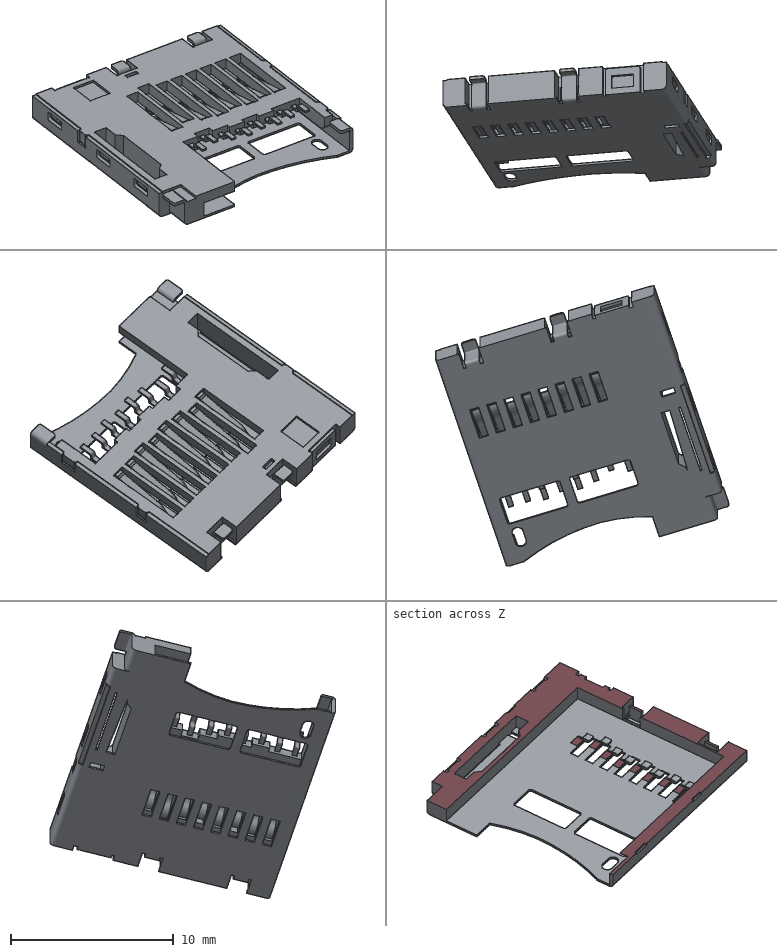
import cadquery as cq
import math

LENGTH = 15.2
WIDTH = 14.1
HEIGHT = 1.88
COVER_TOP = 1.82
SHEET = 0.15
TAB_SHEET = 0.20

BACK = -LENGTH / 2
FRONT = LENGTH / 2
SIDE = WIDTH / 2
BOTTOM_RADIUS = 0.28

MOUTH_BACK = 2.07
MOUTH_LOW_Y = -2.51
MOUTH_HIGH_Y = 6.20
LIP_END = 6.61
SIDE_WALL = 0.26
REBATE_DEPTH = 0.06
SIDE_NOTCHES = ((-1, -2.75, -1.91), (1, -2.75, -1.93), (1, 3.02, 4.10))
RAIL_END = 4.79
RAIL_RADIUS = 0.50
RAIL_BOTTOM = 0.85

CARD_BACK = -6.30
CARD_LOW_Y = -4.80
CARD_TOP = 1.12

CONTACT_COUNT = 8
CONTACT_PITCH = 1.10
FIRST_CONTACT_Y = 5.75
CONTACT_SHIFT = {2: 0.19, 4: 0.19, 6: -0.38}
CONTACT_SHEET = 0.12
CONTACT_EMBED = 0.30
ARM_WIDTH = 0.50
TAIL_WIDTH = 0.32
SLOT_BACK = -4.19
SLOT_FRONT = 0.65
SLOT_WIDTH = 0.82

TAB_BEND = 0.28
BACK_TAB_ROOT = -6.71
BACK_TAB_WIDTH = 0.92
SIDE_TAB_WIDTH = 1.31
BACK_TAB_YS = (4.94, -0.75)
TAB_CORNER = 0.15
WALL_TAB_TOP = 1.80

CORNER_BACK = 5.98
CORNER_STEP_Y = -5.42
CORNER_SIDE_Y = -6.28
CORNER_TOP = 1.66

LATCH_XS = (-5.22, 0.0, 4.02)
BACK_NOTCH_YS = ((4.18, 5.65), (-1.52, 0.01))
OPENING_YS = (-1.40, -0.08)
OPENING_LOW = 0.19


def block(x0, x1, y0, y1, z0, z1):
    """Box between two opposite corners."""
    return cq.Workplane("XY").box(x1 - x0, y1 - y0, z1 - z0, centered=False).translate((x0, y0, z0))


def contact_y(index):
    return FIRST_CONTACT_Y - index * CONTACT_PITCH


def contact_shift(index):
    return CONTACT_SHIFT.get(index, 0)


def make_body():
    """Solid envelope with the bent lower edges and the stepped upper edges."""
    body = block(BACK, FRONT, -SIDE, SIDE, 0, COVER_TOP)
    body = body.edges("|X and <Z").fillet(BOTTOM_RADIUS)
    rebate_low = COVER_TOP - REBATE_DEPTH
    rebates = cq.Workplane("XY")
    for y in (-SIDE, SIDE - SIDE_WALL):
        rebates = rebates.union(block(BACK, FRONT, y, y + SIDE_WALL, rebate_low, COVER_TOP))
    for side, back, front in SIDE_NOTCHES:
        wall_y = side * SIDE
        rebates = rebates.cut(block(back, front, wall_y - SIDE_WALL, wall_y + SIDE_WALL, 0, HEIGHT))
    return body.cut(rebates)


def make_card_space():
    """Space for the card between floor and cover, open at the front."""
    return block(CARD_BACK, FRONT, CARD_LOW_Y, MOUTH_HIGH_Y, SHEET, CARD_TOP)


def make_mouth():
    """Open area in front of the cover, with its stepped back edge."""
    mouth = block(MOUTH_BACK, FRONT, MOUTH_LOW_Y, MOUTH_HIGH_Y, SHEET, HEIGHT)
    step_half = CONTACT_PITCH / 2
    tongue_reach = 0.26
    for index, shift in CONTACT_SHIFT.items():
        y = contact_y(index)
        if shift > 0:
            step_front = MOUTH_BACK + tongue_reach
            tongue = block(MOUTH_BACK, step_front, y - step_half, y + step_half, CARD_TOP, HEIGHT)
            mouth = mouth.cut(tongue)
        else:
            step_back = MOUTH_BACK + shift
            notch = block(step_back, MOUTH_BACK, y - step_half, y + step_half, SHEET, HEIGHT)
            mouth = mouth.union(notch)
    wall_inner = SIDE - SIDE_WALL
    beside_rail = block(RAIL_END, FRONT, MOUTH_HIGH_Y, wall_inner, SHEET, HEIGHT)
    return mouth.union(beside_rail)


def make_rail_undercut():
    """Groove for the card edge below the guide rail, and the rounding of the rail's front end."""
    low, high = MOUTH_HIGH_Y, SIDE - SIDE_WALL
    groove = block(CARD_BACK, RAIL_END, low, high, SHEET, RAIL_BOTTOM)
    round_x = RAIL_END - RAIL_RADIUS
    round_z = RAIL_BOTTOM + RAIL_RADIUS
    corner = block(round_x, RAIL_END, low, high, RAIL_BOTTOM, round_z)
    round_end = cq.Workplane("XZ", origin=(round_x, high, round_z)).circle(RAIL_RADIUS).extrude(high - low)
    return groove.union(corner.cut(round_end))


def make_front_cut():
    """Everything in front of the curved floor edge and the +Y wall."""
    crest = (5.60, 0.65)
    curve_high_y = 5.89
    curve_low_x = 6.22
    high_arc_middle = (5.87, 3.45)
    low_arc_middle = (5.79, -0.95)
    outer = FRONT + 1
    return (
        cq.Workplane("XY")
        .moveTo(outer, SIDE)
        .lineTo(LIP_END, SIDE)
        .lineTo(LIP_END, curve_high_y)
        .threePointArc(high_arc_middle, crest)
        .threePointArc(low_arc_middle, (curve_low_x, MOUTH_LOW_Y))
        .lineTo(outer, MOUTH_LOW_Y)
        .close()
        .extrude(HEIGHT)
    )


def make_floor_windows():
    """Two windows below the contact tails and an oval hole."""
    back, front = 2.20, 3.99
    spans = ((2.20, 6.09), (-2.34, 1.58))
    corner = 0.15
    windows = cq.Workplane("XY")
    for low, high in spans:
        windows = windows.union(block(back, front, low, high, 0, SHEET).edges("|Z").fillet(corner))
    oval_x, oval_y = 4.98, 5.69
    oval_length, oval_width = 1.28, 0.69
    oval = cq.Workplane("XY").center(oval_x, oval_y).slot2D(oval_length, oval_width).extrude(SHEET)
    return windows.union(oval)


def make_contact_slot(index):
    """Slot through the cover plus the smaller floor window under the contact tip."""
    y = contact_y(index)
    shift = contact_shift(index)
    half = SLOT_WIDTH / 2
    slot = block(SLOT_BACK + min(shift, 0), SLOT_FRONT + shift, y - half, y + half, SHEET, HEIGHT)
    window_back, window_front, window_half = -3.89, -1.95, 0.29
    window = block(window_back, window_front, y - window_half, y + window_half, 0, SHEET)
    return slot.union(window)


def make_arm(index):
    """Spring arm: a dipped tip, an S-shaped rise and a straight run into the cover."""
    t = CONTACT_SHEET
    lean = t / 2
    tip_x, dip_x, turn_x, crest_x = -3.63, -3.37, -2.85, -2.39
    tip_z, dip_z, turn_z, crest_z = 0.46, 0.40, 0.68, 0.95
    bow_x, bow_z = -2.66, 0.87
    knee_x, knee_z = 0.37, 1.48
    root_x, root_z = 0.50, 1.56
    end_x = SLOT_FRONT + CONTACT_EMBED
    return (
        cq.Workplane("XZ", origin=(contact_shift(index), contact_y(index) + ARM_WIDTH / 2, 0))
        .moveTo(tip_x, tip_z)
        .threePointArc((dip_x, dip_z), (turn_x, turn_z))
        .threePointArc((bow_x, bow_z), (crest_x, crest_z))
        .lineTo(knee_x, knee_z)
        .lineTo(root_x, root_z)
        .lineTo(end_x, root_z)
        .lineTo(end_x, root_z + t)
        .lineTo(root_x - lean, root_z + t)
        .lineTo(knee_x - lean, knee_z + t)
        .lineTo(crest_x - lean, crest_z + t)
        .threePointArc((bow_x - lean, bow_z + t), (turn_x - lean, turn_z + t))
        .threePointArc((dip_x - lean, dip_z + t), (tip_x, tip_z + t))
        .close()
        .extrude(ARM_WIDTH)
    )


def make_tail(index):
    """Solder tail that leaves the cover, rises in an S and ends flat at the solder level."""
    t = CONTACT_SHEET
    rise_x, flat_x, tail_x = 2.52, 2.82, 3.56
    start_x = MOUTH_BACK - CONTACT_EMBED
    low_z = 1.36
    top_z = HEIGHT - t
    turn_x, turn_z = (rise_x + flat_x) / 2, (low_z + top_z) / 2
    return (
        cq.Workplane("XZ", origin=(contact_shift(index), contact_y(index) + TAIL_WIDTH / 2, 0))
        .moveTo(start_x, low_z)
        .lineTo(rise_x + t, low_z)
        .spline([(turn_x + t / 2, turn_z), (flat_x + t / 2, top_z)],
                tangents=[(1, 0), (1, 0)], includeCurrent=True)
        .lineTo(tail_x, top_z)
        .lineTo(tail_x, HEIGHT)
        .lineTo(flat_x, HEIGHT)
        .spline([(turn_x - t / 2, turn_z + t), (rise_x - t / 2, low_z + t)],
                tangents=[(-1, 0), (-1, 0)], includeCurrent=True)
        .lineTo(start_x, low_z + t)
        .close()
        .extrude(TAIL_WIDTH)
    )


def make_tab(reach, width, top=HEIGHT):
    """Upright leg on the floor whose top bends over to a flat solder tab.

    The inner face of the leg is at x = 0, the tab points to -X, y is centred.
    """
    inner = TAB_BEND - TAB_SHEET
    bend_z = top - TAB_BEND
    diagonal = math.sqrt(0.5)
    profile = (
        cq.Workplane("XZ", origin=(0, width / 2, 0))
        .lineTo(0, bend_z)
        .threePointArc((-TAB_BEND * (1 - diagonal), bend_z + TAB_BEND * diagonal), (-TAB_BEND, top))
        .lineTo(-reach, top)
        .lineTo(-reach, top - TAB_SHEET)
        .lineTo(-TAB_BEND, top - TAB_SHEET)
        .threePointArc((-TAB_BEND + inner * diagonal, bend_z + inner * diagonal), (-TAB_SHEET, bend_z))
        .lineTo(-TAB_SHEET, 0)
        .close()
        .extrude(width)
    )
    return profile.edges("|Z and <X").fillet(TAB_CORNER)


def make_back_notch(low, high):
    """Notch in the back edge around an upright leg; the floor keeps a small lip."""
    upper_front, floor_front = -6.46, -6.59
    lip = 0.10
    lip_top = 0.13
    upper = block(BACK, upper_front, low, high, lip_top, HEIGHT)
    lower = block(BACK, floor_front, low + lip, high - lip, 0, lip_top)
    return upper.union(lower)


def make_back_leg(y):
    """Back solder tab with the bend that joins its leg to the floor."""
    leg = make_tab(BACK_TAB_ROOT - BACK, BACK_TAB_WIDTH)
    bend_radius = 0.18
    foot_length = 0.30
    foot = block(-TAB_SHEET, foot_length, -BACK_TAB_WIDTH / 2, BACK_TAB_WIDTH / 2, 0, SHEET)
    leg = leg.union(foot).faces("<Z").edges("<X").fillet(bend_radius)
    return leg.translate((BACK_TAB_ROOT, y, 0))


def make_side_tabs():
    """Tab pointing out at the -Y front corner and tab pointing in at the +Y wall."""
    outward_root = CORNER_SIDE_Y + TAB_SHEET
    outward = make_tab(SIDE + outward_root, SIDE_TAB_WIDTH).rotate((0, 0, 0), (0, 0, 1), 90)
    outward = outward.translate((FRONT - SIDE_TAB_WIDTH / 2, outward_root, 0))
    outward = outward.cut(block(CORNER_BACK, FRONT, -SIDE, 0, 0, BOTTOM_RADIUS))
    inward_tip = 6.15
    inward = make_tab(SIDE - inward_tip, SIDE_TAB_WIDTH, WALL_TAB_TOP).rotate((0, 0, 0), (0, 0, 1), 90)
    inward = inward.translate((LIP_END - SIDE_TAB_WIDTH / 2, SIDE, 0))
    inward = inward.cut(block(0, FRONT, 0, SIDE, 0, BOTTOM_RADIUS))
    return outward.union(inward)


def make_wall_tab_clearance():
    """Top of the +Y wall that gives way to the bend of the inward tab."""
    back = LIP_END - SIDE_TAB_WIDTH
    return block(back, LIP_END, SIDE - SIDE_WALL, SIDE, WALL_TAB_TOP - TAB_BEND, HEIGHT)


def make_front_corner_cut():
    """Lowered and narrowed front corner that carries the outward tab."""
    lowered = block(CORNER_BACK, FRONT, -SIDE, CORNER_STEP_Y, CORNER_TOP, HEIGHT)
    narrowed = block(CORNER_BACK, FRONT, -SIDE, CORNER_SIDE_Y, 0, HEIGHT)
    floor_strip = block(CORNER_BACK, FRONT, CORNER_SIDE_Y, CORNER_SIDE_Y + BOTTOM_RADIUS, 0, BOTTOM_RADIUS)
    bend = (
        cq.Workplane("YZ", origin=(CORNER_BACK, CORNER_SIDE_Y + BOTTOM_RADIUS, BOTTOM_RADIUS))
        .circle(BOTTOM_RADIUS)
        .extrude(FRONT - CORNER_BACK)
    )
    return lowered.union(narrowed).union(floor_strip.cut(bend))


def make_back_plate_cut():
    """Recess in the back edge that leaves a windowed shell plate standing."""
    recess_front, plate_back = -7.26, -7.46
    recess_low_y, recess_high_y = -5.61, -3.01
    plate_low_y, plate_high_y = -5.36, -3.18
    plate_top, plate_corner = 1.70, 0.10
    window_low_y, window_high_y = -4.94, -3.55
    window_bottom, window_top, window_corner = 0.40, 1.22, 0.06
    recess = block(BACK, recess_front, recess_low_y, recess_high_y, 0, HEIGHT)
    plate = block(plate_back, recess_front, plate_low_y, plate_high_y, 0, plate_top)
    plate = plate.edges("|X and >Z").fillet(plate_corner)
    window = block(plate_back, recess_front, window_low_y, window_high_y, window_bottom, window_top)
    window = window.edges("|X").fillet(window_corner)
    return recess.cut(plate.cut(window))


def make_latch_window(x):
    """Window in the -Y wall with a wedge-shaped catch inside it."""
    length, low, high = 1.44, 0.90, 1.46
    depth = 0.25
    corner = 0.10
    catch_length = 1.03
    ridge_z = 1.27
    ridge_setback = 0.03
    window = block(x - length / 2, x + length / 2, -SIDE, -SIDE + depth, low, high)
    window = window.edges("|Y").fillet(corner)
    catch = (
        cq.Workplane("YZ", origin=(x - catch_length / 2, 0, 0))
        .moveTo(-SIDE + depth, low)
        .lineTo(-SIDE + ridge_setback, ridge_z)
        .lineTo(-SIDE + depth, high)
        .close()
        .extrude(catch_length)
    )
    return window.cut(catch)


def make_side_notch(side, back, front):
    """Notch high in a side wall, partly filled by a tongue of the cover; side is -1 or +1."""
    low = 0.95
    gap = 0.10
    notch_depth = 0.12
    tongue_depth = 0.05
    middle = (back + front) / 2
    length = front - back
    height = HEIGHT - low
    notch = cq.Workplane("XY").box(length, 2 * notch_depth, height)
    tongue = cq.Workplane("XY").box(length - 2 * gap, notch_depth, height - gap)
    tongue = tongue.translate((0, -side * (tongue_depth + notch_depth / 2), gap / 2))
    return notch.cut(tongue).translate((middle, side * SIDE, low + height / 2))


def straighten_open_bend(body):
    """Stretch of the -Y wall that ends straight above the floor instead of bending into it."""
    back, front = -1.44, 4.60
    wall_low = 0.19
    inner = -SIDE + BOTTOM_RADIUS
    body = body.union(block(back, front, -SIDE, inner, wall_low, BOTTOM_RADIUS))
    return body.cut(block(back, front, -SIDE, inner, 0, wall_low))


def make_spring_pocket():
    """Pocket with angled ends over a spring tongue cut from the floor."""
    back, front = -1.97, 4.55
    low, shoulder, high = -6.35, -5.47, -5.10
    slope_back, slope_front, slope_run = -0.99, 3.76, 0.37
    pocket = (
        cq.Workplane("XY", origin=(0, 0, SHEET))
        .moveTo(back, low)
        .lineTo(front, low)
        .lineTo(front, shoulder)
        .lineTo(slope_front, shoulder)
        .lineTo(slope_front - slope_run, high)
        .lineTo(slope_back + slope_run, high)
        .lineTo(slope_back, shoulder)
        .lineTo(back, shoulder)
        .close()
        .extrude(HEIGHT)
    )
    gap_back = -1.46
    gap_below_tongue = 0.12
    hook_back, hook_front, tongue_root = -1.09, -0.11, 4.24
    edge_at_hook, edge_at_root, edge_end = -5.66, -5.50, 3.95
    behind_hook = block(gap_back, hook_back, low, shoulder, 0, SHEET)
    below_tongue = block(hook_front, tongue_root, low, low + gap_below_tongue, 0, SHEET)
    above_tongue = (
        cq.Workplane("XY")
        .moveTo(hook_front, edge_at_hook)
        .lineTo(edge_end, edge_at_root)
        .lineTo(slope_front, shoulder)
        .lineTo(slope_front - slope_run, high)
        .lineTo(hook_front, high)
        .close()
        .extrude(SHEET)
    )
    return pocket.union(behind_hook).union(below_tongue).union(above_tongue)


def make_cover_recesses():
    """Square recess and a small slit in the cover."""
    square_back, square_front = -6.86, -5.04
    square_low, square_high, square_depth = -4.50, -3.01, 0.15
    slit_back, slit_front = -6.18, -5.91
    slit_low, slit_high, slit_depth = -1.10, -0.28, 0.30
    square = block(square_back, square_front, square_low, square_high, COVER_TOP - square_depth, COVER_TOP)
    slit = block(slit_back, slit_front, slit_low, slit_high, COVER_TOP - slit_depth, COVER_TOP)
    return square.union(slit)


result = make_body().cut(make_card_space()).cut(make_mouth()).cut(make_rail_undercut())
result = result.cut(make_front_cut()).cut(make_floor_windows()).cut(make_front_corner_cut())
result = result.cut(make_back_plate_cut())
result = straighten_open_bend(result)
result = result.cut(make_spring_pocket()).cut(make_cover_recesses())

for notch_side, notch_back, notch_front in SIDE_NOTCHES:
    result = result.cut(make_side_notch(notch_side, notch_back, notch_front))

for latch_x in LATCH_XS:
    result = result.cut(make_latch_window(latch_x))

for contact in range(CONTACT_COUNT):
    result = result.cut(make_contact_slot(contact))
    result = result.union(make_arm(contact)).union(make_tail(contact))

for notch_low, notch_high in BACK_NOTCH_YS:
    result = result.cut(make_back_notch(notch_low, notch_high))

result = result.cut(block(BACK, CARD_BACK, OPENING_YS[0], OPENING_YS[1], OPENING_LOW, CARD_TOP))

for leg_y in BACK_TAB_YS:
    result = result.union(make_back_leg(leg_y))
result = result.cut(make_wall_tab_clearance()).union(make_side_tabs())